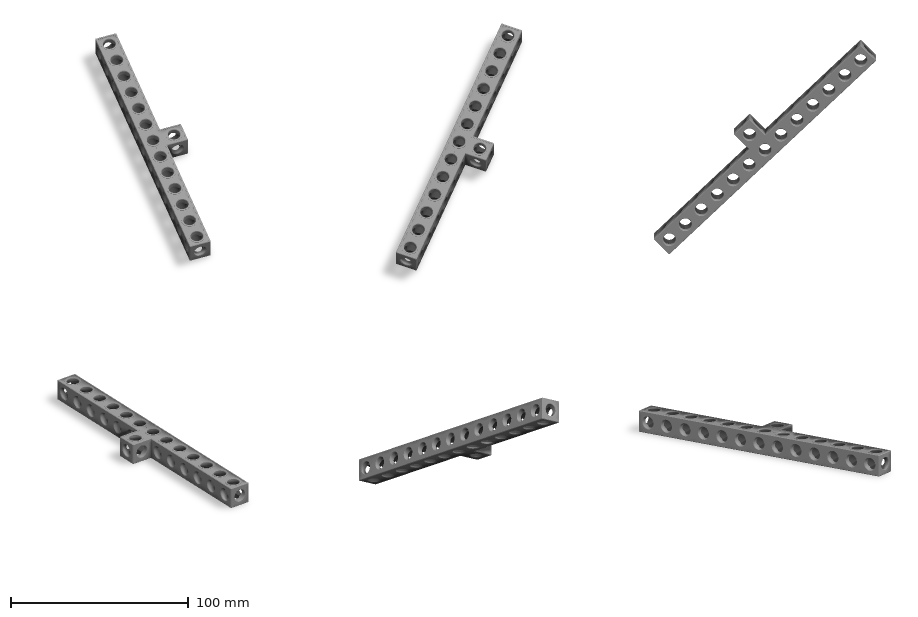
import cadquery as cq

LENGTH = 162.5
CELL_COUNT = 13
CHAMFER = 0.31
HOLE_DIAMETER = 7.0
RING_DIAMETER = 9.3
RIM_WIDTH = 1.1
RECESS_DEPTH = 0.2
RIB_WIDTH = 0.3

PITCH = LENGTH / CELL_COUNT
HALF = PITCH / 2
MIDDLE_CELL = CELL_COUNT // 2
BRANCH_REACH = PITCH + HALF

bar_xs = [(i - MIDDLE_CELL) * PITCH for i in range(CELL_COUNT)]
cell_centres = [(x, 0) for x in bar_xs] + [(0, PITCH)]


def tee_boxes(inset, height):
    """Bar and branch centred on Z = 0, with their sides moved inwards by the inset."""
    width = PITCH - 2 * inset
    branch_length = BRANCH_REACH - inset
    bar = cq.Workplane().box(LENGTH - 2 * inset, width, height)
    branch = cq.Workplane().box(width, branch_length, height).translate((0, branch_length / 2, 0))
    return bar, branch


def make_body():
    """Solid tee with chamfered outer edges."""
    bar, branch = tee_boxes(0, PITCH)
    return bar.edges().chamfer(CHAMFER).union(branch.edges().chamfer(CHAMFER))


def make_top_recess():
    """Cutter inside the top rim that leaves a ring around each hole and a rib between two rings."""
    bar, branch = tee_boxes(RIM_WIDTH, RECESS_DEPTH)
    rings = (
        cq.Workplane(origin=(0, 0, -RECESS_DEPTH / 2))
        .pushPoints(cell_centres)
        .circle(RING_DIAMETER / 2)
        .extrude(RECESS_DEPTH)
    )
    rib = cq.Workplane().box(PITCH, RIB_WIDTH, RECESS_DEPTH).translate((HALF, 0, 0))
    recess = bar.union(branch).cut(rings).cut(rib)
    return recess.translate((0, 0, HALF - RECESS_DEPTH / 2))


def make_hole(start, axis, length):
    """Cutter for a through hole from the start point along +axis, chamfered at both mouths."""
    radius = HOLE_DIAMETER / 2
    mouth_radius = radius + CHAMFER
    profile = [
        (0, 0),
        (mouth_radius, 0),
        (radius, CHAMFER),
        (radius, length - CHAMFER),
        (mouth_radius, length),
        (0, length),
    ]
    along_y = cq.Workplane("XY").polyline(profile).close().revolve(360, (0, 0), (0, 1))
    if axis == "X":
        hole = along_y.rotate((0, 0, 0), (0, 0, 1), -90)
    elif axis == "Z":
        hole = along_y.rotate((0, 0, 0), (1, 0, 0), 90)
    else:
        hole = along_y
    return hole.translate(start)


holes = [make_hole((x, y, -HALF), "Z", PITCH) for x, y in cell_centres]
for x in bar_xs:
    hole_length = HALF + BRANCH_REACH if x == 0 else PITCH
    holes.append(make_hole((x, -HALF, 0), "Y", hole_length))
holes.append(make_hole((-LENGTH / 2, 0, 0), "X", LENGTH))
holes.append(make_hole((-HALF, PITCH, 0), "X", PITCH))

result = make_body().cut(make_top_recess())
for hole in holes:
    result = result.cut(hole)